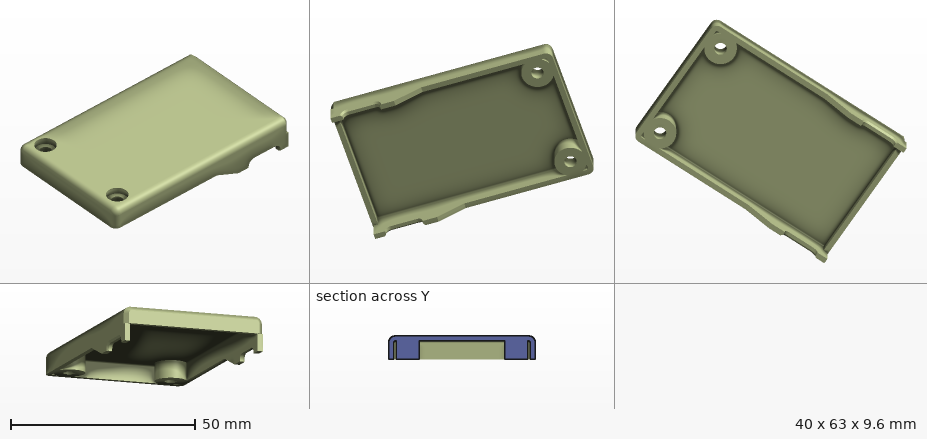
import cadquery as cq

width = 40.0
length = 62.95
height = 9.6

wall = 1.5
rounding = 1.95
skirt_z = 3.2
inner_rounding = rounding - wall

ramp_top_y = 36.9
ramp_foot_y = 44.65
leg_end_y = 62.7

lip_z = 4.8
lip_chamfer = 1.15

notch_front_y = 48.8
notch_rear_y = 59.4
notch_height = 1.9
notch_radius = 1.65
notch_chamfer = 0.5

screw_x = width / 2 - 5.3
screw_y = 5.4
hole_diameter = 3.4
counterbore_diameter = 6.1
counterbore_depth = 1.95
boss_diameter = 8.8


def block(x_size, y_start, y_end, z_start, z_end):
    """Box centred on X between the given Y and Z limits."""
    return (
        cq.Workplane("XY")
        .box(x_size, y_end - y_start, z_end - z_start, centered=(True, False, False))
        .translate((0, y_start, z_start))
    )


def rounded_block(end_y, bottom_z):
    """Outer block with round front corners, sides and front top edge."""
    body = block(width, 0, end_y, bottom_z, height)
    body = body.edges("|Z and <Y").fillet(rounding)
    return body.faces(">Z").edges("not >Y").fillet(rounding)


def outer_body():
    upper = rounded_block(length, lip_z)
    rear_rim = upper.faces(">Y").edges("not <Z")
    upper = upper.newObject(rear_rim.vals()).chamfer(lip_chamfer)
    lower = rounded_block(leg_end_y, 0).intersect(block(width, 0, length, 0, lip_z))
    below_ramp = (
        cq.Workplane("YZ")
        .polyline([(0, 0), (ramp_foot_y, 0), (ramp_top_y, skirt_z), (0, skirt_z)])
        .close()
        .extrude(width / 2, both=True)
    )
    return upper.union(lower).cut(below_ramp)


def cavity():
    """Space between the walls, open below and under the rear lip."""
    inside_width = width - 2 * wall
    inside = block(inside_width, wall, length - wall, 0, height - wall)
    inside = inside.edges("|Z and <Y").fillet(inner_rounding)
    inside = inside.faces(">Z").edges("not >Y").fillet(inner_rounding)
    rear_opening = block(inside_width, length - wall, length, 0, lip_z)
    return inside.union(rear_opening)


def notch_profile(plane, margin):
    """Round-topped notch outline enlarged by margin and running below the legs."""
    top = notch_height + margin
    bottom = -notch_height
    outline = (
        cq.Sketch()
        .rect(notch_rear_y - notch_front_y + 2 * margin, top - bottom)
        .vertices(">Y")
        .fillet(notch_radius + margin)
    )
    centre = ((notch_front_y + notch_rear_y) / 2, (top + bottom) / 2)
    return plane.center(*centre).placeSketch(outline)


def notch_cutter():
    cutter = notch_profile(cq.Workplane("YZ"), 0).extrude(width / 2, both=True)
    left_face = cq.Workplane("YZ", origin=(-width / 2, 0, 0))
    flare = notch_profile(left_face, notch_chamfer).extrude(notch_chamfer, taper=45)
    return cutter.union(flare).union(flare.mirror("YZ"))


outer = outer_body()
screw_points = [(-screw_x, screw_y), (screw_x, screw_y)]

bosses = (
    cq.Workplane("XY", origin=(0, 0, skirt_z))
    .pushPoints(screw_points)
    .circle(boss_diameter / 2)
    .extrude(height - skirt_z)
    .intersect(outer)
)

result = (
    outer.cut(cavity())
    .union(bosses)
    .cut(notch_cutter())
    .faces(">Z")
    .workplane(origin=(0, 0, height))
    .pushPoints(screw_points)
    .cboreHole(hole_diameter, counterbore_diameter, counterbore_depth)
)